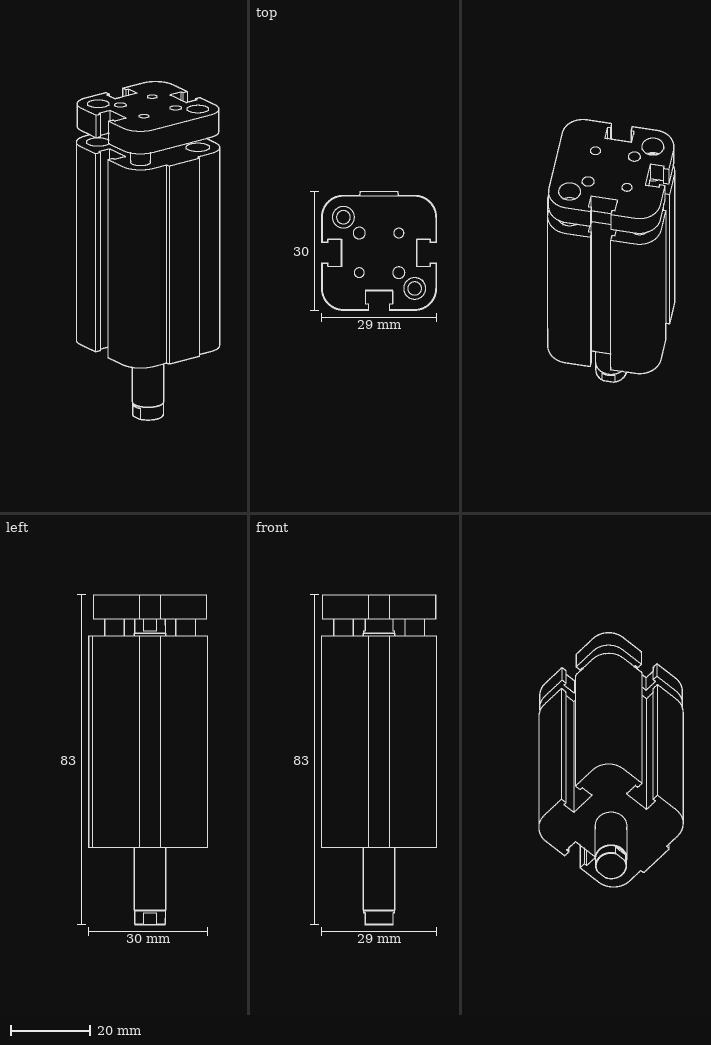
import cadquery as cq


TOTAL_HEIGHT = 83.0
PLATE_THICKNESS = 6.1
HOUSING_BOTTOM = 19.4
HOUSING_HEIGHT = 53.3
HOUSING_TOP = HOUSING_BOTTOM + HOUSING_HEIGHT
PLATE_BOTTOM = TOTAL_HEIGHT - PLATE_THICKNESS

HOUSING_WIDTH = 29.0
PLATE_WIDTH = 28.55
CORNER_CENTRE = 9.0

SLOT_OPENING = 5.2
SLOT_INNER_WIDTH = 6.8
SLOT_LIP = 12.9
HOUSING_SLOT_FLOOR = 9.55
PLATE_SLOT_FLOOR = 9.4
SLOT_ANGLES = (0, 180, 270)

RAIL_BASE_WIDTH = 9.8
RAIL_TOP_WIDTH = 9.5
RAIL_HEIGHT = 1.0

ROD_DIAMETER = 8.0
NECK_DIAMETER = 7.8
NECK_LENGTH = 3.5
SHOULDER_CHAMFER_LENGTH = 0.2
ROD_END_CHAMFER = 0.2
FLAT_LENGTH = 3.0
ACROSS_FLATS = 7.05

PIN_DIAMETER = 5.0
PIN_CORNERS = [(-CORNER_CENTRE, -CORNER_CENTRE), (CORNER_CENTRE, CORNER_CENTRE)]
SCREW_CORNERS = [(-CORNER_CENTRE, CORNER_CENTRE), (CORNER_CENTRE, -CORNER_CENTRE)]
PIN_DEPTH = 12.45
SCREW_HOLE_DIAMETER = 3.4
SCREW_HOLE_DEPTH = PIN_DEPTH
COUNTERBORE_DIAMETER = 6.0
COUNTERBORE_DEPTH = 3.2

ACCESS_HOLE_DIAMETER = 5.5
PLATE_HOLE_OFFSET = 5.0
DOWEL_HOLE_DIAMETER = 3.0
THREAD_HOLE_DIAMETER = 2.5
DOWEL_POINTS = [(-PLATE_HOLE_OFFSET, PLATE_HOLE_OFFSET), (PLATE_HOLE_OFFSET, -PLATE_HOLE_OFFSET)]
THREAD_POINTS = [(-PLATE_HOLE_OFFSET, -PLATE_HOLE_OFFSET), (PLATE_HOLE_OFFSET, PLATE_HOLE_OFFSET)]


def cylinders(points, diameter, bottom, height):
    """Upright cylinders at the given XY points."""
    return cq.Workplane("XY", origin=(0, 0, bottom)).pushPoints(points).circle(diameter / 2).extrude(height)


def t_slot(width, floor, bottom, height):
    """Material removed by one T-slot opening on the +X side of a square of the given width."""
    plane = cq.Workplane("XY", origin=(0, 0, bottom))
    undercut = plane.center((floor + SLOT_LIP) / 2, 0).rect(SLOT_LIP - floor, SLOT_INNER_WIDTH).extrude(height)
    mouth = plane.center((floor + width / 2) / 2, 0).rect(width / 2 - floor, SLOT_OPENING).extrude(height)
    return undercut.union(mouth)


def slotted_block(width, slot_floor, bottom, height):
    """Square block with rounded corners and T-slots on its left, right and front sides."""
    block = cq.Workplane("XY", origin=(0, 0, bottom)).rect(width, width).extrude(height)
    block = block.edges("|Z").fillet(width / 2 - CORNER_CENTRE)
    slot = t_slot(width, slot_floor, bottom, height)
    for angle in SLOT_ANGLES:
        block = block.cut(slot.rotate((0, 0, 0), (0, 0, 1), angle))
    return block


def make_housing():
    housing = slotted_block(HOUSING_WIDTH, HOUSING_SLOT_FLOOR, HOUSING_BOTTOM, HOUSING_HEIGHT)

    back = HOUSING_WIDTH / 2
    rail_root = CORNER_CENTRE
    rail = (
        cq.Workplane("XY", origin=(0, 0, HOUSING_BOTTOM))
        .moveTo(-RAIL_BASE_WIDTH / 2, rail_root)
        .lineTo(RAIL_BASE_WIDTH / 2, rail_root)
        .lineTo(RAIL_BASE_WIDTH / 2, back)
        .lineTo(RAIL_TOP_WIDTH / 2, back + RAIL_HEIGHT)
        .lineTo(-RAIL_TOP_WIDTH / 2, back + RAIL_HEIGHT)
        .lineTo(-RAIL_BASE_WIDTH / 2, back)
        .close()
        .extrude(HOUSING_HEIGHT)
    )
    housing = housing.union(rail)

    housing = housing.cut(cylinders([(0, 0)], ROD_DIAMETER, HOUSING_BOTTOM, HOUSING_HEIGHT))
    housing = housing.cut(cylinders(PIN_CORNERS, PIN_DIAMETER, HOUSING_TOP - PIN_DEPTH, PIN_DEPTH))

    screw_bottom = HOUSING_TOP - SCREW_HOLE_DEPTH
    counterbore_bottom = HOUSING_TOP - COUNTERBORE_DEPTH
    housing = housing.cut(cylinders(SCREW_CORNERS, SCREW_HOLE_DIAMETER, screw_bottom, SCREW_HOLE_DEPTH))
    return housing.cut(cylinders(SCREW_CORNERS, COUNTERBORE_DIAMETER, counterbore_bottom, COUNTERBORE_DEPTH))


def make_rod():
    """Rod from Z = 0 up to the plate, turned to a neck and flattened across X at both ends."""
    rod_radius = ROD_DIAMETER / 2
    neck_radius = NECK_DIAMETER / 2
    upper_shoulder = PLATE_BOTTOM - NECK_LENGTH
    rod = (
        cq.Workplane("XZ")
        .moveTo(0, 0)
        .lineTo(neck_radius - ROD_END_CHAMFER, 0)
        .lineTo(neck_radius, ROD_END_CHAMFER)
        .lineTo(neck_radius, NECK_LENGTH)
        .lineTo(rod_radius, NECK_LENGTH + SHOULDER_CHAMFER_LENGTH)
        .lineTo(rod_radius, upper_shoulder - SHOULDER_CHAMFER_LENGTH)
        .lineTo(neck_radius, upper_shoulder)
        .lineTo(neck_radius, PLATE_BOTTOM)
        .lineTo(0, PLATE_BOTTOM)
        .close()
        .revolve(360, (0, 0), (0, 1))
    )
    flat_centre = (ACROSS_FLATS + ROD_DIAMETER) / 2
    for flat_bottom in (0, PLATE_BOTTOM - FLAT_LENGTH):
        flats = (
            cq.Workplane("XY", origin=(0, 0, flat_bottom))
            .pushPoints([(-flat_centre, 0), (flat_centre, 0)])
            .rect(ROD_DIAMETER, ROD_DIAMETER)
            .extrude(FLAT_LENGTH)
        )
        rod = rod.cut(flats)
    return rod


def make_piston_assembly():
    plate = slotted_block(PLATE_WIDTH, PLATE_SLOT_FLOOR, PLATE_BOTTOM, PLATE_THICKNESS)
    plate = plate.cut(cylinders(SCREW_CORNERS, ACCESS_HOLE_DIAMETER, PLATE_BOTTOM, PLATE_THICKNESS))
    plate = plate.cut(cylinders(DOWEL_POINTS, DOWEL_HOLE_DIAMETER, PLATE_BOTTOM, PLATE_THICKNESS))
    plate = plate.cut(cylinders(THREAD_POINTS, THREAD_HOLE_DIAMETER, PLATE_BOTTOM, PLATE_THICKNESS))

    pin_bottom = HOUSING_TOP - PIN_DEPTH
    pins = cylinders(PIN_CORNERS, PIN_DIAMETER, pin_bottom, PLATE_BOTTOM - pin_bottom)
    return plate.union(pins).union(make_rod())


housing = make_housing().solids()
piston_assembly = make_piston_assembly().solids()

result = cq.Compound.makeCompound([housing.val(), piston_assembly.val()])